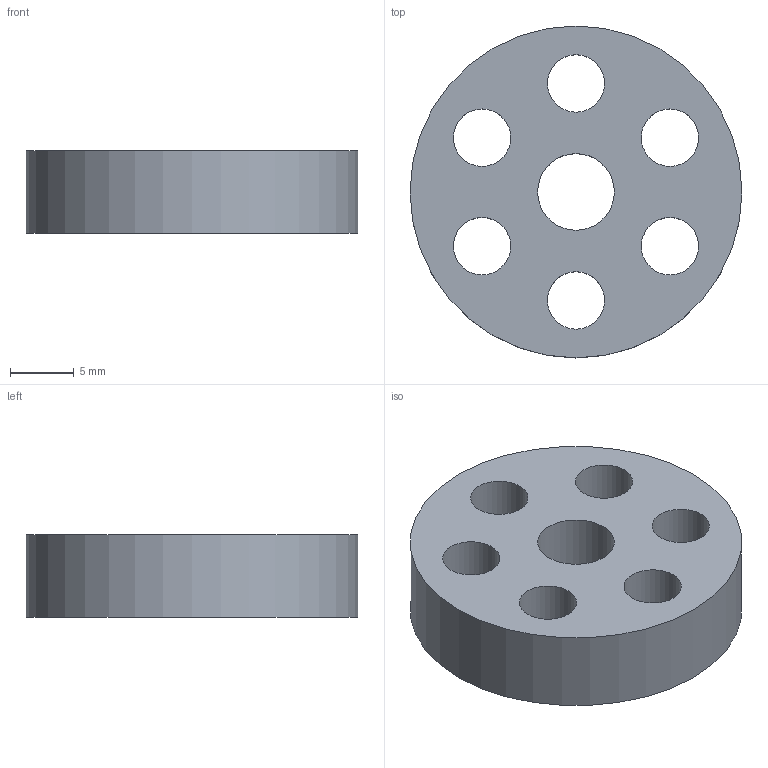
import cadquery as cq

disc_diameter = 26.0
disc_thickness = 6.5
bore_diameter = 6.0
bolt_hole_diameter = 4.5
bolt_circle_radius = 8.5
bolt_hole_count = 6
first_hole_angle = 90.0
full_turn = 360.0


def make_disc():
    """Plain round disc standing on the XY plane."""
    return cq.Workplane("XY").circle(disc_diameter / 2).extrude(disc_thickness)


def cut_bore(body):
    """Central through bore."""
    return body.faces(">Z").workplane().hole(bore_diameter)


def cut_bolt_holes(body):
    """Evenly spaced through holes on the bolt circle."""
    return (
        body.faces(">Z")
        .workplane()
        .polarArray(bolt_circle_radius, first_hole_angle, full_turn, bolt_hole_count)
        .hole(bolt_hole_diameter)
    )


result = cut_bolt_holes(cut_bore(make_disc()))